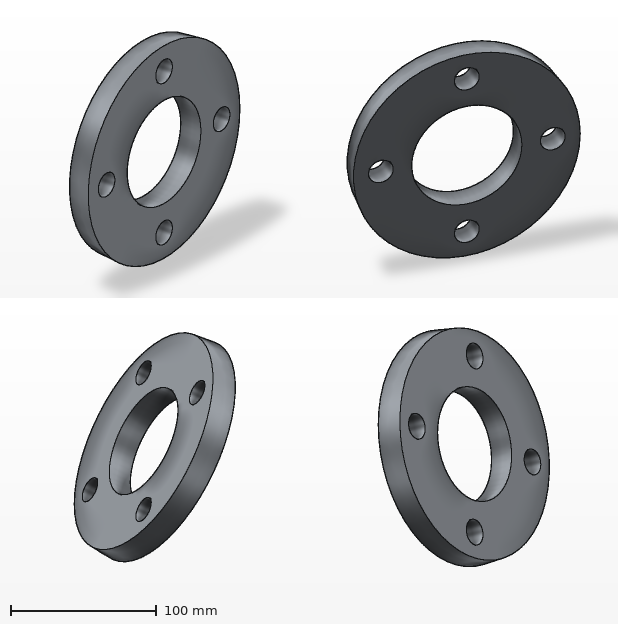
import cadquery as cq
import math

outer_diameter = 165.0
thickness = 18.0
rim_taper_degrees = 5.0
bore_diameter = 80.0
bolt_hole_diameter = 18.0
bolt_circle_diameter = 125.0
bolt_hole_count = 4

outer_radius = outer_diameter / 2
small_radius = outer_radius - thickness * math.tan(math.radians(rim_taper_degrees))
bore_radius = bore_diameter / 2


def tapered_ring():
    """Ring about the X axis whose rim widens toward +X."""
    return (
        cq.Workplane("XY")
        .moveTo(0, bore_radius)
        .lineTo(0, small_radius)
        .lineTo(thickness, outer_radius)
        .lineTo(thickness, bore_radius)
        .close()
        .revolve(360, (0, 0, 0), (1, 0, 0))
    )


def bolt_holes():
    """Cylinders through the full thickness, on the Y and Z axes."""
    return (
        cq.Workplane("YZ")
        .polarArray(bolt_circle_diameter / 2, 0, 360, bolt_hole_count)
        .circle(bolt_hole_diameter / 2)
        .extrude(thickness)
    )


result = tapered_ring().cut(bolt_holes())